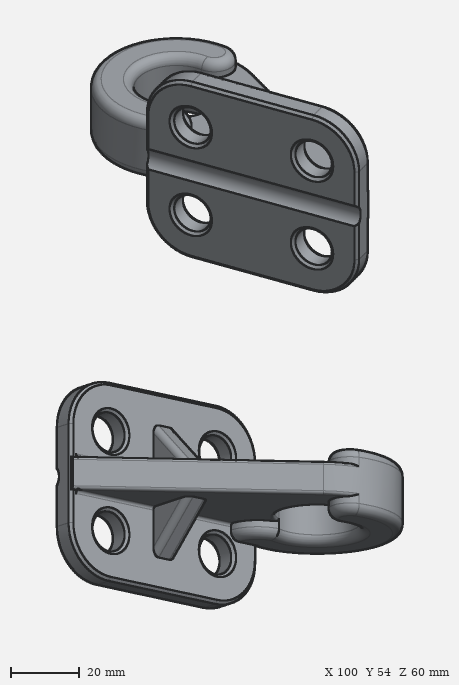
import cadquery as cq
import math

plate_length = 70.0
plate_height = 60.0
plate_thickness = 7.5
plate_corner_radius = 15.0
plate_chamfer = 1.0
plate_left = 30.0
plate_right = plate_left + plate_length
plate_mid_x = plate_left + plate_length / 2

hole_diameter = 12.0
hole_chamfer = 1.0
hole_pitch_x = plate_length - 2 * plate_corner_radius
hole_pitch_z = plate_height - 2 * plate_corner_radius

groove_radius = 4.0
groove_depth = 2.0

ring_outer_radius = 25.0
ring_bore_radius = 12.5
ring_width = 20.0
ring_fillet = 3.0
ring_x = ring_outer_radius
ring_y = 29.0

tip_outer_angle = 80.5
tip_bore_angle = 82.0
tip_end = (33.9, 47.6)
root_radius = 10.0
root_toe_y = 2.5

web_thickness = 10.0
web_fillet = 1.0
web_setback = 0.5
web_base_y = 5.0
web_base_inset = 1.0

foot_inset_left = 5.0
foot_inset_right = 2.0

rib_width = 8.0
rib_fillet = 2.0
rib_length = 16.0
rib_reach_z = 20.0
rib_x = 65.0


def ring_point(radius, angle):
    """Point at a polar position about the ring centre."""
    a = math.radians(angle)
    return (ring_x + radius * math.cos(a), ring_y + radius * math.sin(a))


def ring_underside(x, radius):
    """Y where the lower half of a circle about the ring centre passes x."""
    return ring_y - math.sqrt(radius**2 - (x - ring_x) ** 2)


def make_plate():
    return (
        cq.Workplane("XZ")
        .center(plate_mid_x, 0)
        .rect(plate_length, plate_height)
        .extrude(-plate_thickness)
        .edges("|Y")
        .fillet(plate_corner_radius)
        .faces("<Y or >Y")
        .edges()
        .chamfer(plate_chamfer)
    )


def make_ring():
    root_right = plate_left + root_radius
    root_start = (plate_left, ring_underside(plate_left, ring_bore_radius))
    root_mid = (
        plate_left + root_radius * math.sin(math.pi / 4),
        plate_thickness + root_radius * math.cos(math.pi / 4),
    )
    buried_y = ring_underside(plate_left, ring_outer_radius)
    ring = (
        cq.Workplane("XY", origin=(0, 0, -ring_width / 2))
        .moveTo(*ring_point(ring_outer_radius, tip_outer_angle))
        .threePointArc(ring_point(ring_outer_radius, 180), (plate_left, buried_y))
        .lineTo(root_right, root_toe_y)
        .lineTo(root_right, plate_thickness)
        .threePointArc(root_mid, root_start)
        .threePointArc(ring_point(ring_bore_radius, 180), ring_point(ring_bore_radius, tip_bore_angle))
        .threePointArc(tip_end, ring_point(ring_outer_radius, tip_outer_angle))
        .close()
        .extrude(ring_width)
    )
    return ring.faces("<Z or >Z").edges().fillet(ring_fillet)


def make_web():
    """Web between ring and plate; its upper edge is tangent to the ring and aims at the plate corner."""
    to_corner_x = plate_right - ring_x
    to_corner_y = plate_thickness - ring_y
    corner_distance = math.hypot(to_corner_x, to_corner_y)
    tangent_angle = math.atan2(to_corner_y, to_corner_x) + math.acos(ring_outer_radius / corner_distance)
    tangent_angle = math.degrees(tangent_angle)
    outer_mid_angle = (tip_outer_angle + tangent_angle) / 2
    tangent_x, tangent_y = ring_point(ring_outer_radius, tangent_angle)
    slope = (plate_thickness - tangent_y) / (plate_right - tangent_x)
    web_right = plate_right - web_setback
    web = (
        cq.Workplane("XY", origin=(0, 0, -web_thickness / 2))
        .moveTo(*ring_point(ring_outer_radius, tip_outer_angle))
        .threePointArc(ring_point(ring_outer_radius, outer_mid_angle), (tangent_x, tangent_y))
        .lineTo(web_right, plate_thickness - web_setback * slope)
        .lineTo(web_right, web_base_y)
        .lineTo(plate_left + web_base_inset, web_base_y)
        .lineTo(plate_left, ring_underside(plate_left, ring_bore_radius))
        .threePointArc(ring_point(ring_bore_radius, 0), ring_point(ring_bore_radius, tip_bore_angle))
        .close()
        .extrude(web_thickness)
    )
    slope_mid_x = (tangent_x + web_right) / 2
    slope_box = cq.selectors.BoxSelector(
        (slope_mid_x - 2, plate_thickness + 2, -web_thickness),
        (slope_mid_x + 2, ring_y + 10, web_thickness),
    )
    sides = web.faces("<Z or >Z")
    rims = sides.edges("%CIRCLE").add(sides.edges(slope_box))
    return rims.fillet(web_fillet)


def make_web_foot():
    """Concave fillets along both sides of the web where it meets the plate."""
    face_z = web_thickness / 2
    section = (
        cq.Workplane("YZ", origin=(plate_left + foot_inset_left, 0, 0))
        .moveTo(web_base_y, 0)
        .lineTo(web_base_y, face_z + web_fillet)
        .lineTo(plate_thickness, face_z + web_fillet)
        .radiusArc((plate_thickness + web_fillet, face_z), -web_fillet)
        .lineTo(plate_thickness + web_fillet, 0)
        .close()
        .extrude(plate_length - foot_inset_left - foot_inset_right)
    )
    return section.union(section.mirror("XY"))


def make_ribs():
    slope = rib_length / (rib_reach_z - web_thickness / 2)
    apex_y = plate_thickness + rib_reach_z * slope
    rib = (
        cq.Workplane("YZ", origin=(rib_x - rib_width / 2, 0, 0))
        .moveTo(plate_thickness, -rib_reach_z)
        .lineTo(apex_y, 0)
        .lineTo(plate_thickness, rib_reach_z)
        .close()
        .extrude(rib_width)
    )
    return rib.faces("<X or >X").edges("(not |Y) and (not |Z)").fillet(rib_fillet)


def make_hole_cutters():
    hole_radius = hole_diameter / 2
    mouth_radius = hole_radius + hole_chamfer
    cutter = (
        cq.Workplane("XY")
        .lineTo(mouth_radius, 0)
        .lineTo(hole_radius, hole_chamfer)
        .lineTo(hole_radius, plate_thickness - hole_chamfer)
        .lineTo(mouth_radius, plate_thickness)
        .lineTo(0, plate_thickness)
        .close()
        .revolve(360, (0, 0), (0, 1))
    )
    centres = [
        (plate_mid_x + side_x * hole_pitch_x / 2, 0, side_z * hole_pitch_z / 2)
        for side_x in (-1, 1)
        for side_z in (-1, 1)
    ]
    return [cutter.translate(centre) for centre in centres]


def make_groove_cutter():
    return (
        cq.Workplane("YZ", origin=(plate_left, 0, 0))
        .center(groove_depth - groove_radius, 0)
        .circle(groove_radius)
        .extrude(plate_length)
    )


result = make_plate().union(make_ring()).union(make_web()).union(make_web_foot()).union(make_ribs())
for hole_cutter in make_hole_cutters():
    result = result.cut(hole_cutter)
result = result.cut(make_groove_cutter())